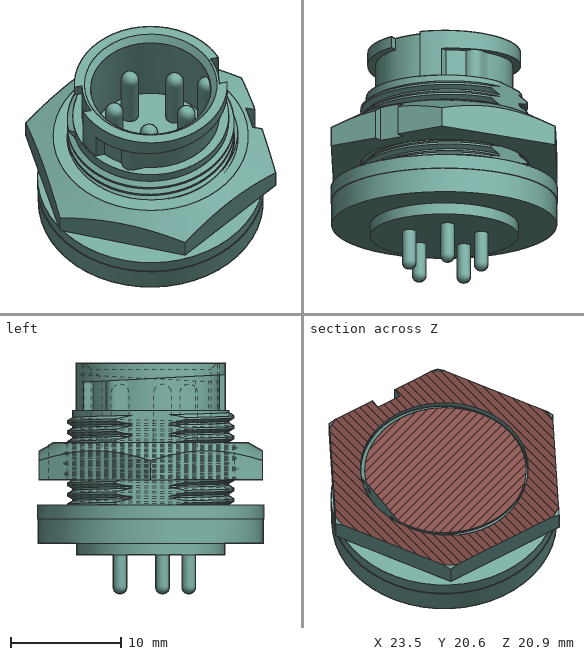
import cadquery as cq
import math


TOP_Z = 12.86
LANDING_Z = 8.57
CAVITY_FLOOR_Z = 5.25
FLANGE_STEP_Z = -1.28
FLANGE_BOTTOM_Z = -3.5
BOSS_BOTTOM_Z = -4.54
PIN_BOTTOM_Z = -8.09
PIN_TIP_Z = 10.95
KEY_TIP_Z = 11.9

FLANGE_RADIUS = 10.29
FLANGE_LOWER_RADIUS = 10.22
BOSS_RADIUS = 6.74
NECK_RADIUS = 6.24
BAYONET_RADIUS = 6.95
CAVITY_RADIUS = 5.46
CAVITY_CHAMFER = 0.56

THREAD_ROOT_RADIUS = 7.09
THREAD_CREST_RADIUS = 7.58
THREAD_PITCH = 0.945
THREAD_TURNS = 9
THREAD_END_Z = 8.0
THREAD_INNER_RADIUS = 7.0
THREAD_INNER_WIDTH = 0.89
THREAD_CREST_WIDTH = 0.19
THREAD_RUNOUT = 0.7
THREAD_FLAT_X = -6.88

BAYONET_ANGLES = (0, 180)
NOTCH_WIDTH = 3.04
STOP_X = 3.36
RAMP_LOW_Z = 11.14
RAMP_HIGH_Z = 11.82
DETENT_FLAT_X = 5.88
DETENT_SIDE_Y = 4.06
DETENT_ROUND = 0.85

PIN_COUNT = 5
PIN_CIRCLE_RADIUS = 3.45
FIRST_PIN_ANGLE = -90
PIN_RADIUS = 0.8
TAIL_RADIUS = 0.63
KEY_RADIUS = 0.78
KEY_Y = 5.2
KEY_EMBED = 1.0

NUT_BOTTOM_Z = 2.26
NUT_TOP_Z = 5.64
NUT_CORNER_WIDTH = 23.46
NUT_FACE_RADIUS = 8.86
NUT_CHAMFER_ANGLE = 29.5
NUT_BORE_RADIUS = 7.6
NUT_GROOVE_INNER_RADIUS = 7.45
NUT_GROOVE_INNER_WIDTH = 0.38
NUT_GROOVE_ROOT_RADIUS = 7.94
NUT_GROOVE_ROOT_WIDTH = 0.04
NUT_NOTCH_WIDTH = 2.36
NUT_NOTCH_Y = 9.27

CUT_MARGIN = 1.0


def cylinder(radius, bottom, top):
    """Cylinder on the connector axis."""
    return cq.Workplane("XY").workplane(offset=bottom).circle(radius).extrude(top - bottom)


def box(x_range, y_range, z_range):
    """Axis-aligned box between the given limits."""
    (x0, x1), (y0, y1), (z0, z1) = x_range, y_range, z_range
    return cq.Workplane("XY").box(x1 - x0, y1 - y0, z1 - z0, centered=False).translate((x0, y0, z0))


def domed_rod(radius, flat_z, tip_z):
    """Rod along Z with a flat end at flat_z and a hemispherical end at tip_z."""
    dome_z = tip_z - math.copysign(radius, tip_z - flat_z)
    rod = cylinder(radius, min(flat_z, dome_z), max(flat_z, dome_z))
    return rod.union(cq.Workplane("XY").sphere(radius).translate((0, 0, dome_z)))


def about_axis(shape, angle):
    """Shape turned about the connector axis."""
    return shape.rotate((0, 0, 0), (0, 0, 1), angle)


def helical_bar(inner_radius, outer_radius, inner_width, outer_width):
    """Right-hand trapezoidal bar along the thread helix, ending on the -Y side at THREAD_END_Z."""
    height = THREAD_TURNS * THREAD_PITCH
    helix = cq.Wire.makeHelix(THREAD_PITCH, height, inner_radius)
    bar = (
        cq.Workplane("XZ")
        .moveTo(inner_radius, -inner_width / 2)
        .lineTo(outer_radius, -outer_width / 2)
        .lineTo(outer_radius, outer_width / 2)
        .lineTo(inner_radius, inner_width / 2)
        .close()
        .sweep(cq.Workplane(obj=helix), isFrenet=True)
    )
    return about_axis(bar, -90).translate((0, 0, THREAD_END_Z - height))


def make_thread():
    """Thread ridge that runs out of the flange and stops just below the landing."""
    ridge = helical_bar(THREAD_INNER_RADIUS, THREAD_CREST_RADIUS, THREAD_INNER_WIDTH, THREAD_CREST_WIDTH)

    clearance = 0.5
    slope = THREAD_RUNOUT / (THREAD_CREST_RADIUS - THREAD_ROOT_RADIUS)
    runout = (
        cq.Workplane("XY")
        .workplane(offset=THREAD_END_Z - THREAD_PITCH / 2)
        .moveTo(0, -THREAD_ROOT_RADIUS)
        .lineTo(-THREAD_RUNOUT - slope * clearance, -THREAD_CREST_RADIUS - clearance)
        .lineTo(clearance, -THREAD_CREST_RADIUS - clearance)
        .lineTo(clearance, -THREAD_ROOT_RADIUS)
        .close()
        .extrude(THREAD_PITCH)
    )
    return ridge.cut(runout)


def make_threaded_barrel():
    """Threaded barrel with a flat along its -X side."""
    barrel = cylinder(THREAD_ROOT_RADIUS, FLANGE_STEP_Z, LANDING_Z).union(make_thread())
    reach = THREAD_CREST_RADIUS + CUT_MARGIN
    return barrel.cut(box((-reach, THREAD_FLAT_X), (-reach, reach), (0, TOP_Z)))


def make_bayonet_groove():
    """Space under the -X half of the bayonet ring, with a tilted roof and a stop on the +Y side."""
    reach = BAYONET_RADIUS + CUT_MARGIN
    stop_y = math.sqrt(BAYONET_RADIUS**2 - STOP_X**2)
    notch_y = math.sqrt(BAYONET_RADIUS**2 - (NOTCH_WIDTH / 2) ** 2)
    roof_slope = (RAMP_HIGH_Z - RAMP_LOW_Z) / (stop_y + notch_y)
    groove = (
        cq.Workplane("YZ")
        .moveTo(-reach, LANDING_Z)
        .lineTo(reach, LANDING_Z)
        .lineTo(reach, RAMP_LOW_Z - roof_slope * (reach - stop_y))
        .lineTo(-reach, RAMP_HIGH_Z + roof_slope * (reach - notch_y))
        .close()
        .extrude(-reach)
    )
    return groove.cut(box((-STOP_X, 0), (0, reach), (LANDING_Z, TOP_Z)))


def make_detent():
    """Bump on the neck inside the groove, with a flat -X face and a rounded +Y corner."""
    bump = box((-DETENT_FLAT_X, 0), (0, DETENT_SIDE_Y), (LANDING_Z, RAMP_HIGH_Z))
    return bump.edges("|Z and <X and >Y").fillet(DETENT_ROUND)


def make_bayonet():
    """Neck with its ring, grooves, entry notches and detents."""
    ring = cylinder(BAYONET_RADIUS, LANDING_Z, TOP_Z)
    reach = BAYONET_RADIUS + CUT_MARGIN
    ring = ring.cut(box((-NOTCH_WIDTH / 2, NOTCH_WIDTH / 2), (-reach, reach), (LANDING_Z, TOP_Z)))
    for angle in BAYONET_ANGLES:
        ring = ring.cut(about_axis(make_bayonet_groove(), angle))
    bayonet = ring.union(cylinder(NECK_RADIUS, CAVITY_FLOOR_Z, TOP_Z))
    for angle in BAYONET_ANGLES:
        bayonet = bayonet.union(about_axis(make_detent(), angle))
    return bayonet


def make_cavity():
    """Blind socket with a chamfered mouth."""
    bore = cylinder(CAVITY_RADIUS, CAVITY_FLOOR_Z, TOP_Z)
    mouth = cq.Solid.makeCone(
        CAVITY_RADIUS,
        CAVITY_RADIUS + CAVITY_CHAMFER,
        CAVITY_CHAMFER,
        pnt=cq.Vector(0, 0, TOP_Z - CAVITY_CHAMFER),
    )
    return bore.union(cq.Workplane(obj=mouth))


def make_contact():
    """Contact pin above the cavity floor with a thinner tail below the boss."""
    pin = domed_rod(PIN_RADIUS, FLANGE_STEP_Z, PIN_TIP_Z)
    return pin.union(domed_rod(TAIL_RADIUS, FLANGE_STEP_Z, PIN_BOTTOM_Z))


def make_connector():
    """Shell, contacts and polarising key as one solid."""
    body = cylinder(FLANGE_RADIUS, FLANGE_STEP_Z, 0)
    body = body.union(cylinder(FLANGE_LOWER_RADIUS, FLANGE_BOTTOM_Z, FLANGE_STEP_Z))
    body = body.union(cylinder(BOSS_RADIUS, BOSS_BOTTOM_Z, FLANGE_BOTTOM_Z))
    body = body.union(make_threaded_barrel()).union(make_bayonet()).cut(make_cavity())

    key = domed_rod(KEY_RADIUS, CAVITY_FLOOR_Z - KEY_EMBED, KEY_TIP_Z).translate((0, KEY_Y, 0))
    body = body.union(key)
    for index in range(PIN_COUNT):
        angle = FIRST_PIN_ANGLE + index * 360 / PIN_COUNT
        contact = make_contact().translate((PIN_CIRCLE_RADIUS, 0, 0))
        body = body.union(about_axis(contact, angle))
    return body


def make_nut():
    """Hexagonal nut with corners on the X axis, a conical top chamfer and a notch on the +Y flat.

    Its bore carries a groove that clears the thread ridge of the connector.
    """
    thickness = NUT_TOP_Z - NUT_BOTTOM_Z
    nut = (
        cq.Workplane("XY")
        .workplane(offset=NUT_BOTTOM_Z)
        .polygon(6, NUT_CORNER_WIDTH)
        .extrude(thickness)
    )
    base_radius = NUT_FACE_RADIUS + thickness / math.tan(math.radians(NUT_CHAMFER_ANGLE))
    cone = cq.Solid.makeCone(base_radius, NUT_FACE_RADIUS, thickness, pnt=cq.Vector(0, 0, NUT_BOTTOM_Z))
    nut = nut.intersect(cq.Workplane(obj=cone))
    nut = nut.cut(
        helical_bar(
            NUT_GROOVE_INNER_RADIUS, NUT_GROOVE_ROOT_RADIUS, NUT_GROOVE_INNER_WIDTH, NUT_GROOVE_ROOT_WIDTH
        )
    )
    nut = nut.cut(cylinder(NUT_BORE_RADIUS, NUT_BOTTOM_Z, NUT_TOP_Z))
    half_notch = NUT_NOTCH_WIDTH / 2
    return nut.cut(box((-half_notch, half_notch), (NUT_NOTCH_Y, NUT_CORNER_WIDTH), (NUT_BOTTOM_Z, NUT_TOP_Z)))


connector = make_connector()
nut = make_nut()
result = cq.Compound.makeCompound([connector.val(), nut.val()])